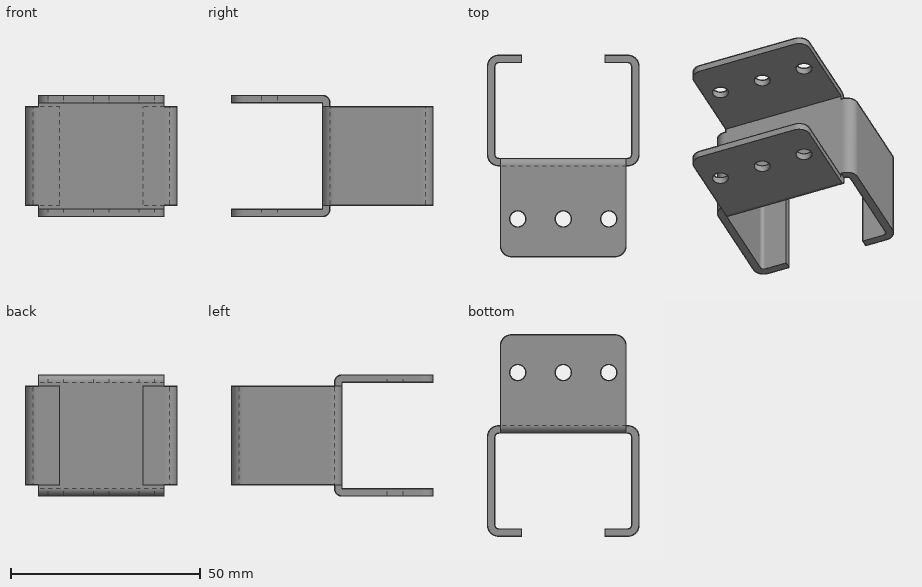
import cadquery as cq

thickness = 2.0
channel_outer_radius = 3.0
channel_inner_radius = channel_outer_radius - thickness

channel_width = 40.0
channel_height = 26.0
lip_length = 9.0

overall_depth = 53.2
overall_height = 32.0
tab_length = 24.0
tab_width = 33.2
tab_corner_radius = 3.0
tab_bend_radius = thickness

hole_diameter = 4.2
hole_pitch = 12.0
hole_count = 3
hole_edge_distance = 10.0

channel_depth = overall_depth - tab_length


def make_channel():
    """Rounded rectangular tube with the gap between the two lips removed."""
    inner_width = channel_width - 2 * thickness
    inner_depth = channel_depth - 2 * thickness
    gap_width = channel_width - 2 * lip_length
    centre_y = channel_depth / 2

    outer = (
        cq.Workplane("XY")
        .box(channel_width, channel_depth, channel_height)
        .edges("|Z")
        .fillet(channel_outer_radius)
    )
    cavity = (
        cq.Workplane("XY")
        .box(inner_width, inner_depth, channel_height)
        .edges("|Z")
        .fillet(channel_inner_radius)
    )
    lip_gap = cq.Workplane("XY").box(gap_width, channel_depth / 2, channel_height)
    lip_gap = lip_gap.translate((0, channel_depth / 2, 0))
    return outer.cut(cavity).cut(lip_gap).translate((0, centre_y, 0))


def make_tab_bracket():
    """U-shaped bracket: the channel web with a tab bent forward at top and bottom."""
    bracket_depth = tab_length + thickness
    body = (
        cq.Workplane("XY")
        .box(tab_width, bracket_depth, overall_height)
        .translate((0, thickness - bracket_depth / 2, 0))
        .edges("|X and >Y")
        .fillet(tab_bend_radius)
        .edges("|Z and <Y")
        .fillet(tab_corner_radius)
    )
    opening = (
        cq.Workplane("XY")
        .box(tab_width, tab_length, overall_height - 2 * thickness)
        .translate((0, -tab_length / 2, 0))
    )
    return body.cut(opening)


def make_tab_holes():
    """Row of cylinders passing through both tabs."""
    return (
        cq.Workplane("XY")
        .center(0, hole_edge_distance - tab_length)
        .rarray(hole_pitch, 1, hole_count, 1)
        .circle(hole_diameter / 2)
        .extrude(overall_height / 2, both=True)
    )


result = make_channel().union(make_tab_bracket()).cut(make_tab_holes())